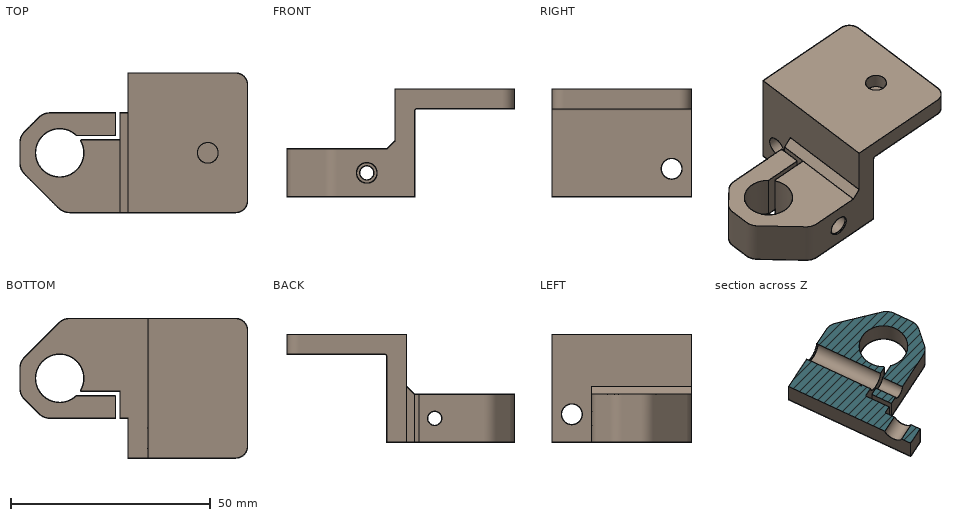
import cadquery as cq
import math

length = 57.0
width = 35.0
height = 27.0

thickness = 5.0
wall_left = 27.0
plate_corner_radius = 3.0
inner_corner_radius = 0.5
gusset = 2.0

clamp_height = 12.0
clamp_width = 25.0
bore_diameter = 12.0
bore_x = 10.0
bore_y = 15.0
clamp_corner_radius = 4.0

slit_width = 1.0
slit_y = 18.3
slit_edge_radius = 0.3

screw_x = 20.0
screw_z = 6.0
screw_diameter = 3.5
screw_head_diameter = 5.1
screw_mouth_diameter = 5.2
screw_mouth_depth = 0.4
wall_hole_y = 30.0
wall_hole_z = 7.0
wall_hole_diameter = 5.15
plate_hole_x = 47.0
plate_hole_diameter = 5.2
plate_hole_depth = 4.0

wall_right = wall_left + thickness
slit_right = wall_left - gusset
slit_left = slit_right - slit_width
slit_top = slit_y + slit_width


def corner_cut(distance_to_side):
    """Leg of a 45 degree corner cut lying as far from the bore axis as the left side."""
    return bore_x + distance_to_side - math.sqrt(2) * bore_x


def box(x0, x1, y0, y1, z0, z1):
    return cq.Workplane("XY").box(x1 - x0, y1 - y0, z1 - z0, centered=False).translate((x0, y0, z0))


def make_bracket():
    wall = box(wall_left, wall_right, 0, width, 0, height)
    plate = box(wall_left, length, 0, width, height - thickness, height)
    plate = plate.edges("|Z and >X").fillet(plate_corner_radius)
    inner_corner = cq.selectors.NearestToPointSelector((wall_right, width / 2, height - thickness))
    return wall.union(plate).edges(inner_corner).fillet(inner_corner_radius)


def make_clamp():
    front_cut = corner_cut(bore_y)
    back_cut = corner_cut(clamp_width - bore_y)
    block = (
        cq.Workplane("XY")
        .moveTo(front_cut, 0)
        .lineTo(wall_right, 0)
        .lineTo(wall_right, clamp_width)
        .lineTo(back_cut, clamp_width)
        .lineTo(0, clamp_width - back_cut)
        .lineTo(0, front_cut)
        .close()
        .extrude(clamp_height)
    )
    block = block.edges("|Z and (not >X)").fillet(clamp_corner_radius)
    bore = cq.Workplane("XY").center(bore_x, bore_y).circle(bore_diameter / 2).extrude(clamp_height)
    slit = box(bore_x, slit_right, slit_y, slit_top, 0, clamp_height)
    arm_gap = box(slit_left, slit_right, slit_y, clamp_width, 0, clamp_height)
    block = block.cut(bore).cut(slit).cut(arm_gap)

    lip_x = bore_x + math.sqrt((bore_diameter / 2) ** 2 - (slit_y - bore_y) ** 2)
    for x, y in ((slit_left, slit_top), (lip_x, slit_y)):
        edge = cq.selectors.NearestToPointSelector((x, y, clamp_height / 2))
        block = block.edges(edge).fillet(slit_edge_radius)
    return block


def make_gusset():
    return (
        cq.Workplane("XZ")
        .moveTo(slit_right, clamp_height)
        .lineTo(wall_left, clamp_height)
        .lineTo(wall_left, clamp_height + gusset)
        .close()
        .extrude(-clamp_width)
    )


def hole_along_y(diameter, depth):
    profile = cq.Workplane("XZ", origin=(screw_x, 0, screw_z)).circle(diameter / 2)
    return profile.extrude(-depth)


screw_hole = (
    hole_along_y(screw_mouth_diameter, screw_mouth_depth)
    .union(hole_along_y(screw_head_diameter, slit_y))
    .union(hole_along_y(screw_diameter, clamp_width))
)
wall_hole = (
    cq.Workplane("YZ", origin=(wall_left, wall_hole_y, wall_hole_z))
    .circle(wall_hole_diameter / 2)
    .extrude(thickness)
)
plate_hole = (
    cq.Workplane("XY", origin=(plate_hole_x, bore_y, height))
    .circle(plate_hole_diameter / 2)
    .extrude(-plate_hole_depth)
)

result = make_bracket().union(make_clamp()).union(make_gusset())
result = result.cut(screw_hole).cut(wall_hole).cut(plate_hole)